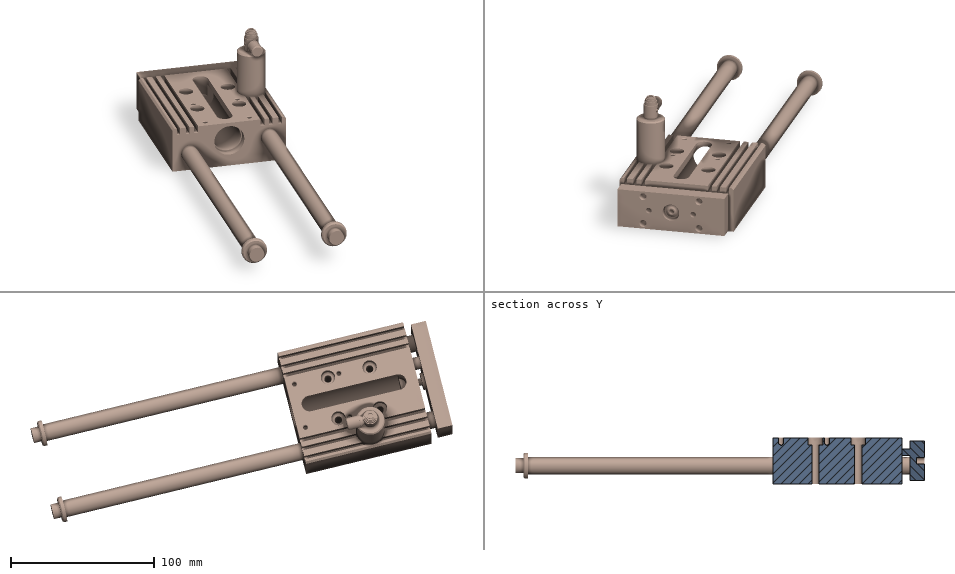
import cadquery as cq

block_start = 15.7
block_length = 90.0
block_end = block_start + block_length
block_width = 82.0
block_height = 32.5
mid_height = block_height / 2

groove_depth = 4.8
edge_chamfer = 1.5
groove_spans = [(22.5, 25.5), (28.8, 31.4), (35.5, 38.0)]

bore_diameter = 20.0
bore_start = 27.6
bore_height = 19.0
bore_mouth_diameter = 21.7
bore_mouth_start = 99.8
slot_start = 23.7
slot_end = 98.5
slot_width = 11.0
slot_floor = bore_height

mount_x = [46.2, 76.0]
mount_y = 15.0
mount_diameter = 5.0
mount_head_diameter = 10.0
mount_head_depth = 5.0

small_hole_x = [68.0, 100.0]
small_hole_y = 16.0
small_hole_diameter = 3.0
small_hole_mouth_diameter = 4.0
small_hole_depth = 4.3
small_hole_point_length = 1.0

lock_x = 56.7
lock_y = 29.0
lock_diameter = 20.0
lock_top = 63.5
lock_chamfer = 0.9

elbow_foot_diameter = 9.0
elbow_foot_top = 64.5
elbow_diameter = 10.0
elbow_top = 73.5
cap_tiers = [(8.8, 76.0), (7.7, 77.5), (6.5, 78.5), (4.8, 79.2)]
cap_hole_diameter = 3.5
cap_hole_depth = 0.9

arm_height = 69.3
arm_throat_start = 61.0
arm_throat_diameter = 4.3
arm_mouth_diameter = 7.5
arm_collar_start = 63.5
arm_collar_diameter = 8.8
arm_body_diameter = 8.5
arm_collar_width = 0.9
arm_end = 73.5
arm_rim_diameter = 8.3
arm_rim_width = 2.0
arm_rim_chamfer = 0.5
port_diameter = 4.3
port_depth = 0.9
port_core_diameter = 2.15

plate_thickness = 10.5
plate_width = 77.0
plate_height = 27.6

rod_y = 28.8
rod_mid_height = 15.7
rod_stagger = 3.0
rod_diameter = 12.0
ring_start = 276.5
ring_thickness = 3.0
ring_diameter = 18.0
ring_chamfer = 0.9
tail_diameter = 10.5
slide_length = 285.0

piston_rod_diameter = 5.0
piston_flange_diameter = 12.0
piston_flange_thickness = 2.0

stop_y = -12.3
stop_z = 22.2
stop_diameter = 8.8

plate_screw_y = 20.1
plate_screw_z = 10.0
plate_screw_diameter = 4.3
plate_screw_mouth_diameter = 5.0
dowel_y = 16.0
dowel_diameter = 4.0
dowel_depth = 5.7

centre_hole_diameter = 12.0
screw_head_diameter = 10.5
screw_head_cone_diameter = 8.8
screw_head_tip_diameter = 4.8
screw_head_front = 1.7
screw_head_cone_length = 1.5
centre_hole_depth = 5.7
socket_diameter = 3.5


def cylinder_x(diameter, start, end, y, z):
    """Cylinder along X between two X positions."""
    return cq.Workplane("YZ", origin=(start, y, z)).circle(diameter / 2).extrude(end - start)


def cylinder_z(diameter, bottom, top, x, y):
    """Cylinder along Z between two heights."""
    return cq.Workplane("XY", origin=(x, y, bottom)).circle(diameter / 2).extrude(top - bottom)


def cone_x(start_diameter, end_diameter, start, end, y, z):
    """Cone frustum along X between two X positions."""
    base = cq.Vector(start, y, z)
    cone = cq.Solid.makeCone(start_diameter / 2, end_diameter / 2, end - start, base, cq.Vector(1, 0, 0))
    return cq.Workplane(cone)


def cone_z(bottom_diameter, top_diameter, bottom, top, x, y):
    """Cone or cone frustum along Z between two heights."""
    base = cq.Vector(x, y, bottom)
    return cq.Workplane(cq.Solid.makeCone(bottom_diameter / 2, top_diameter / 2, top - bottom, base))


def box(x_span, y_span, z_span):
    """Box from its (low, high) span on each axis."""
    spans = (x_span, y_span, z_span)
    size = [high - low for low, high in spans]
    return cq.Workplane("XY").box(*size, centered=False).translate(tuple(low for low, high in spans))


rod_centres = [(side * rod_y, rod_mid_height + side * rod_stagger) for side in (-1, 1)]


def make_block():
    half_width = block_width / 2
    block = box((block_start, block_end), (-half_width, half_width), (0, block_height))

    block = block.faces(">Z").edges("|X").chamfer(edge_chamfer)
    for inner, outer in groove_spans:
        for low, high in ((inner, outer), (-outer, -inner)):
            block = block.cut(
                box((block_start, block_end), (low, high), (block_height - groove_depth, block_height))
            )
    return block


def make_lock_cylinder():
    return cylinder_z(lock_diameter, mid_height, lock_top, lock_x, lock_y).faces(">Z").chamfer(lock_chamfer)


def make_elbow_stem():
    stem = cylinder_z(elbow_foot_diameter, lock_top, elbow_foot_top, lock_x, lock_y)
    stem = stem.union(cylinder_z(elbow_diameter, elbow_foot_top, elbow_top, lock_x, lock_y))

    bottom = elbow_top
    for diameter, top in cap_tiers:
        stem = stem.union(cylinder_z(diameter, bottom, top, lock_x, lock_y))
        bottom = top
    stem = stem.cut(cylinder_z(cap_hole_diameter, bottom - cap_hole_depth, bottom, lock_x, lock_y))

    port = (
        cq.Workplane("XZ", origin=(lock_x, lock_y - elbow_diameter / 2 + port_depth, arm_height))
        .circle(port_diameter / 2)
        .circle(port_core_diameter / 2)
        .extrude(port_depth)
    )
    return stem.cut(port)


def make_elbow_arm():
    collar_end = arm_collar_start + arm_collar_width
    rim_start = arm_end - arm_rim_width
    throat = cylinder_x(arm_throat_diameter, lock_x, arm_throat_start, lock_y, arm_height)
    mouth = cone_x(
        arm_throat_diameter, arm_mouth_diameter, arm_throat_start, arm_collar_start, lock_y, arm_height
    )
    collar = cylinder_x(arm_collar_diameter, arm_collar_start, collar_end, lock_y, arm_height)
    body = cylinder_x(arm_body_diameter, collar_end, rim_start, lock_y, arm_height)
    rim = cylinder_x(arm_rim_diameter, rim_start, arm_end, lock_y, arm_height)
    rim = rim.faces(">X").chamfer(arm_rim_chamfer)
    return throat.union(mouth).union(collar).union(body).union(rim)


def make_small_hole(x, y):
    """Countersunk blind hole with a drill point."""
    floor = block_height - small_hole_depth
    mouth_floor = block_height - (small_hole_mouth_diameter - small_hole_diameter) / 2
    shaft = cylinder_z(small_hole_diameter, floor, block_height, x, y)
    mouth = cone_z(small_hole_diameter, small_hole_mouth_diameter, mouth_floor, block_height, x, y)
    point = cone_z(0, small_hole_diameter, floor - small_hole_point_length, floor, x, y)
    return shaft.union(mouth).union(point)


def make_housing():
    body = make_block().union(make_lock_cylinder()).union(make_elbow_stem()).union(make_elbow_arm())

    bore = cylinder_x(bore_diameter, bore_start, block_end, 0, bore_height)
    bore_mouth = cylinder_x(bore_mouth_diameter, bore_mouth_start, block_end, 0, bore_height)
    slot = (
        cq.Workplane("XY", origin=((slot_start + slot_end) / 2, 0, slot_floor))
        .slot2D(slot_end - slot_start, slot_width)
        .extrude(block_height - slot_floor)
    )
    body = body.cut(bore).cut(bore_mouth).cut(slot)
    body = body.cut(cylinder_x(piston_rod_diameter, block_start, bore_start, 0, mid_height))

    for y, z in rod_centres:
        body = body.cut(cylinder_x(rod_diameter, block_start, block_end, y, z))

    for side in (-1, 1):
        for x in mount_x:
            y = side * mount_y
            body = body.cut(cylinder_z(mount_diameter, 0, block_height, x, y))
            head_floor = block_height - mount_head_depth
            body = body.cut(cylinder_z(mount_head_diameter, head_floor, block_height, x, y))
        for x in small_hole_x:
            body = body.cut(make_small_hole(x, side * small_hole_y))
    return body


def make_guide_rod(y, z):
    rod = cylinder_x(rod_diameter, plate_thickness, ring_start, y, z)
    ring = cylinder_x(ring_diameter, ring_start, ring_start + ring_thickness, y, z)
    ring = ring.faces(">X").chamfer(ring_chamfer)
    tail = cylinder_x(tail_diameter, ring_start + ring_thickness, slide_length, y, z)
    return rod.union(ring).union(tail)


def make_tool_plate():
    plate = box(
        (0, plate_thickness),
        (-plate_width / 2, plate_width / 2),
        (mid_height - plate_height / 2, mid_height + plate_height / 2),
    )
    mouth_depth = (plate_screw_mouth_diameter - plate_screw_diameter) / 2
    for side in (-1, 1):
        y = side * plate_screw_y
        for level in (-1, 1):
            z = mid_height + level * plate_screw_z
            plate = plate.cut(cylinder_x(plate_screw_diameter, 0, plate_thickness, y, z))
            plate = plate.cut(
                cone_x(plate_screw_mouth_diameter, plate_screw_diameter, 0, mouth_depth, y, z)
            )
        plate = plate.cut(cylinder_x(dowel_diameter, 0, dowel_depth, side * dowel_y, mid_height))
    return plate.cut(cylinder_x(centre_hole_diameter, 0, centre_hole_depth, 0, mid_height))


def make_screw_head():
    cone_end = screw_head_front + screw_head_cone_length
    cone = cone_x(
        screw_head_tip_diameter, screw_head_cone_diameter, screw_head_front, cone_end, 0, mid_height
    )
    rim = cylinder_x(screw_head_diameter, cone_end, centre_hole_depth, 0, mid_height)
    socket = cylinder_x(socket_diameter, screw_head_front, centre_hole_depth, 0, mid_height)
    return cone.union(rim).cut(socket)


def make_slide():
    slide = make_tool_plate().union(make_screw_head())
    for y, z in rod_centres:
        slide = slide.union(make_guide_rod(y, z))

    flange_end = plate_thickness + piston_flange_thickness
    flange = cylinder_x(piston_flange_diameter, plate_thickness, flange_end, 0, mid_height)
    piston_rod = cylinder_x(piston_rod_diameter, flange_end, bore_start, 0, mid_height)
    stop_pin = cylinder_x(stop_diameter, plate_thickness, block_start, stop_y, stop_z)
    return slide.union(flange).union(piston_rod).union(stop_pin)


housing = make_housing()
slide = make_slide()

result = cq.Compound.makeCompound([housing.val(), slide.val()])